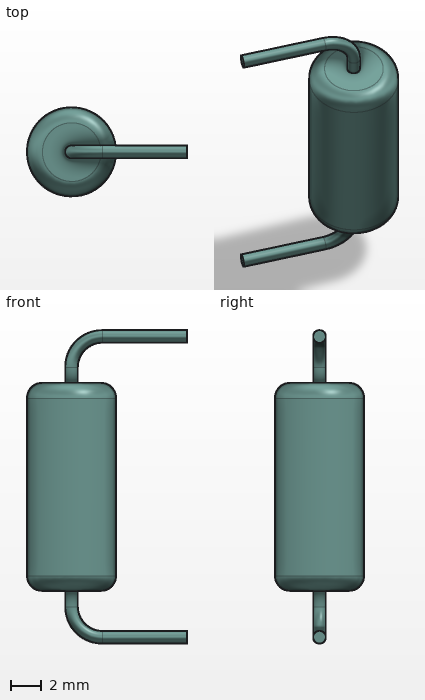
import cadquery as cq

overall_length_x = 10.4
overall_height = 20.35
body_diameter = 5.8
body_height = 13.5
body_edge_radius = 1.0
lead_diameter = 0.83
bend_radius = 2.0

body_top = body_height / 2
lead_level = (overall_height - lead_diameter) / 2
bend_start = lead_level - bend_radius
lead_tip_x = overall_length_x - body_diameter / 2


def make_body():
    """Upright cylinder with rounded rims."""
    body = cq.Workplane("XY").workplane(offset=-body_top).circle(body_diameter / 2).extrude(body_height)
    return body.faces("|Z").edges().fillet(body_edge_radius)


def make_top_lead():
    """Round wire that leaves the body upward and bends toward +X."""
    stub = (
        cq.Workplane("XY")
        .workplane(offset=body_top)
        .circle(lead_diameter / 2)
        .extrude(bend_start - body_top)
    )
    bend = (
        cq.Workplane("XY")
        .workplane(offset=bend_start)
        .circle(lead_diameter / 2)
        .revolve(90, (bend_radius, 0, 0), (bend_radius, 1, 0))
    )
    tail = (
        cq.Workplane("YZ")
        .workplane(offset=bend_radius)
        .center(0, lead_level)
        .circle(lead_diameter / 2)
        .extrude(lead_tip_x - bend_radius)
    )
    return stub.union(bend).union(tail)


top_lead = make_top_lead()
bottom_lead = top_lead.mirror("XY")
result = make_body().union(top_lead).union(bottom_lead)